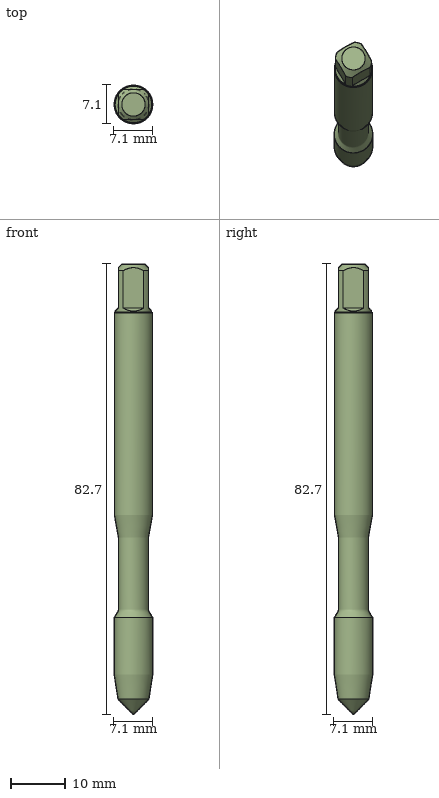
import cadquery as cq

total_length = 82.7
shank_diameter = 7.0
neck_diameter = 5.5
head_diameter = 7.1

square_width = 5.5
square_corner_diameter = 6.7
square_tip_diameter = 4.3
shoulder_z = 73.8
ramp_top_z = 74.7

shank_bottom_z = 36.6
neck_top_z = 32.5
neck_bottom_z = 19.1
neck_fillet_radius = 0.7

head_top_z = 17.9
lead_taper_top_z = 7.4
lead_tip_diameter = 5.7
point_height = lead_tip_diameter / 2

shank_radius = shank_diameter / 2
neck_radius = neck_diameter / 2
head_radius = head_diameter / 2
square_corner_radius = square_corner_diameter / 2
square_tip_radius = square_tip_diameter / 2
lead_tip_radius = lead_tip_diameter / 2
ramp_height = ramp_top_z - shoulder_z
ramp_base_width = square_width + 2 * ramp_height
corner_base_z = shoulder_z + shank_radius - square_corner_radius
tip_chamfer_z = total_length - (square_corner_radius - square_tip_radius)


def revolve_profile(points):
    """Revolve a closed (radius, height) outline about the Z axis."""
    return cq.Workplane("XZ").polyline(points).close().revolve(360, (0, 0), (0, 1))


def square_drive_waste():
    """Stock outside the square, ending on 45 degree ramps at the shoulder."""
    height = total_length - shoulder_z
    outer = cq.Workplane("XY").workplane(offset=shoulder_z).circle(shank_diameter).extrude(height)
    square = cq.Workplane("XY").workplane(offset=shoulder_z).rect(square_width, square_width).extrude(height)
    ramps = (
        cq.Workplane("XY").workplane(offset=shoulder_z)
        .rect(ramp_base_width, ramp_base_width)
        .extrude(ramp_height, taper=45)
    )
    return outer.cut(square).cut(ramps)


def make_shank():
    """Shank with a chamfered square drive above and a slim neck that flares out below."""
    blank = revolve_profile([
        (0, head_top_z),
        (shank_radius, head_top_z),
        (neck_radius, neck_bottom_z),
        (neck_radius, neck_top_z),
        (shank_radius, shank_bottom_z),
        (shank_radius, shoulder_z),
        (square_corner_radius, corner_base_z),
        (square_corner_radius, tip_chamfer_z),
        (square_tip_radius, total_length),
        (0, total_length),
    ])
    neck_band = cq.selectors.BoxSelector(
        (-shank_radius, -shank_radius, neck_bottom_z - neck_fillet_radius / 2),
        (shank_radius, shank_radius, neck_top_z + neck_fillet_radius / 2),
    )
    neck_edges = blank.edges("%CIRCLE").edges(neck_band)
    blank = neck_edges.fillet(neck_fillet_radius)
    return blank.cut(square_drive_waste())


def make_head():
    """Forming head, seated against the wide lower end of the shank body."""
    return revolve_profile([
        (0, 0),
        (lead_tip_radius, point_height),
        (head_radius, lead_taper_top_z),
        (head_radius, head_top_z),
        (0, head_top_z),
    ])


shank = make_shank()
head = make_head()
result = cq.Compound.makeCompound([shank.val(), head.val()])